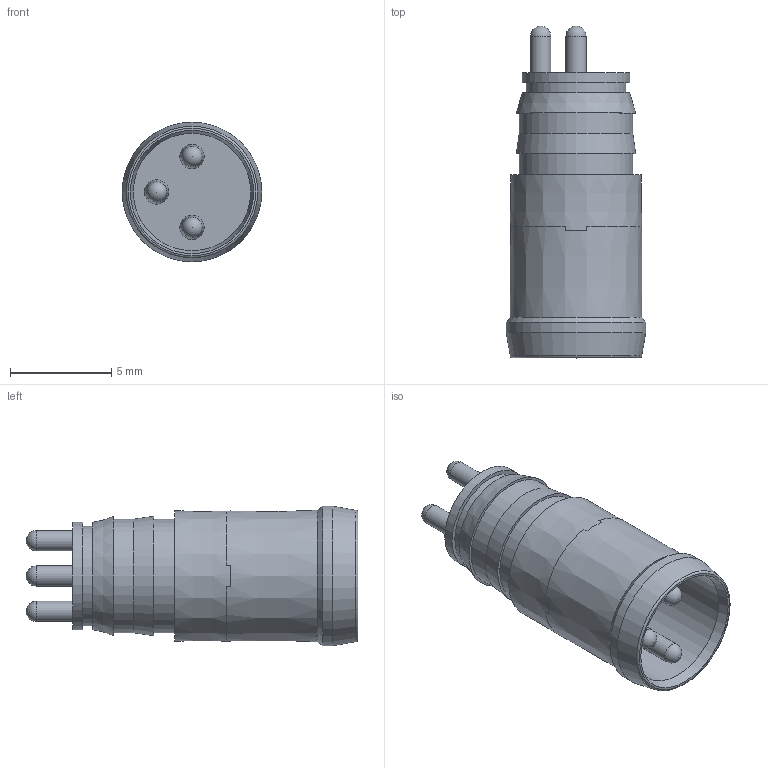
import cadquery as cq
import math


LENGTH = 16.4
RING_TAPER_END = 1.25
RING_REAR_EDGE = 1.75
RING_BACK = 2.0
SLEEVE_JOINT = 6.5
SLEEVE_BACK = 9.05
FIRST_BARB_START = 10.1
BARB_LENGTH = 1.0
FIRST_BARB_END = FIRST_BARB_START + BARB_LENGTH
SECOND_BARB_START = FIRST_BARB_END + BARB_LENGTH
SECOND_BARB_END = SECOND_BARB_START + BARB_LENGTH
FLANGE_THICKNESS = 0.5
FLANGE_FRONT = SECOND_BARB_END + FLANGE_THICKNESS
FLANGE_BACK = FLANGE_FRONT + FLANGE_THICKNESS

RING_DIAMETER = 6.9
LIP_DIAMETER = 6.5
SLEEVE_FRONT_DIAMETER = 6.5
SLEEVE_BACK_DIAMETER = 6.47
BARB_DIAMETER = 5.9
STEM_DIAMETER = 5.62
FLANGE_DIAMETER = 5.3
NECK_DIAMETER = 4.9

LIP_FILLET = 0.1

SOCKET_DIAMETER = 5.8
SOCKET_MOUTH_DIAMETER = 6.1
SOCKET_LEAD_IN = 0.5
SOCKET_DEPTH = SLEEVE_JOINT

JOINT_DEPTH = 0.2
TAB_WIDTH = 1.05
TAB_LENGTH = 0.2
TAB_COUNT = 4

PIN_RADIUS = 0.5
PIN_FRONT = 0.4
PIN_OFFSET = 1.75
PIN_POSITIONS = [(0, PIN_OFFSET), (-PIN_OFFSET, 0), (0, -PIN_OFFSET)]
PIN_ROOT_RADIUS = 0.6
PIN_ROOT_LENGTH = 1.0
PIN_ROOT_FRONT = SOCKET_DEPTH - PIN_ROOT_LENGTH


def revolve_outline(outline):
    """Turn a closed XY outline a full turn about the Y axis."""
    return outline.close().revolve(360, (0, 0, 0), (0, 1, 0))


def make_body():
    """Solid outer shape: lip, snap ring, drafted sleeve, barbs, neck and flange."""
    lip_radius = LIP_DIAMETER / 2
    arc_drop = LIP_FILLET * (1 - math.sqrt(0.5))
    stations = [
        (RING_DIAMETER, RING_TAPER_END),
        (RING_DIAMETER, RING_REAR_EDGE),
        (SLEEVE_FRONT_DIAMETER, RING_BACK),
        (SLEEVE_BACK_DIAMETER, SLEEVE_BACK),
        (STEM_DIAMETER, SLEEVE_BACK),
        (STEM_DIAMETER, FIRST_BARB_START),
        (BARB_DIAMETER, FIRST_BARB_START),
        (STEM_DIAMETER, FIRST_BARB_END),
        (STEM_DIAMETER, SECOND_BARB_START),
        (BARB_DIAMETER, SECOND_BARB_START),
        (FLANGE_DIAMETER, SECOND_BARB_END),
        (NECK_DIAMETER, SECOND_BARB_END),
        (NECK_DIAMETER, FLANGE_FRONT),
        (FLANGE_DIAMETER, FLANGE_FRONT),
        (FLANGE_DIAMETER, FLANGE_BACK),
    ]
    outline = cq.Workplane("XY").lineTo(lip_radius - LIP_FILLET, 0)
    outline = outline.threePointArc((lip_radius - arc_drop, arc_drop), (lip_radius, LIP_FILLET))
    for diameter, station in stations:
        outline = outline.lineTo(diameter / 2, station)
    return revolve_outline(outline.lineTo(0, FLANGE_BACK))


def make_joint_band(front, back):
    """Thin annulus straddling the sleeve surface between two stations."""
    outer_radius = SLEEVE_FRONT_DIAMETER / 2 + JOINT_DEPTH
    inner_radius = SLEEVE_BACK_DIAMETER / 2 - JOINT_DEPTH
    band = cq.Workplane("XZ", origin=(0, front, 0)).circle(outer_radius).circle(inner_radius)
    return band.extrude(front - back)


def make_rear_sleeve_region():
    """Space taken by the rear sleeve's skin, including its forward tabs."""
    region = make_joint_band(SLEEVE_JOINT, SLEEVE_BACK)
    tab_band = make_joint_band(SLEEVE_JOINT - TAB_LENGTH, SLEEVE_JOINT)
    block = cq.Workplane("XY").box(TAB_WIDTH, SLEEVE_JOINT, RING_DIAMETER, centered=(True, False, False))
    for index in range(TAB_COUNT):
        turned = block.rotate((0, 0, 0), (0, 1, 0), index * 360 / TAB_COUNT)
        region = region.union(tab_band.intersect(turned))
    return region


def make_socket():
    """Round cavity with a tapered lead-in at the mouth."""
    outline = cq.Workplane("XY").lineTo(SOCKET_MOUTH_DIAMETER / 2, 0)
    outline = outline.lineTo(SOCKET_DIAMETER / 2, SOCKET_LEAD_IN)
    outline = outline.lineTo(SOCKET_DIAMETER / 2, SOCKET_DEPTH)
    return revolve_outline(outline.lineTo(0, SOCKET_DEPTH))


def make_pin_root():
    """Steep cone that widens the pin towards the socket floor."""
    outline = cq.Workplane("XY").moveTo(0, PIN_ROOT_FRONT).lineTo(PIN_RADIUS, PIN_ROOT_FRONT)
    outline = outline.lineTo(PIN_ROOT_RADIUS, SOCKET_DEPTH)
    return revolve_outline(outline.lineTo(0, SOCKET_DEPTH))


def make_pin():
    """Round pin with a hemispherical tip at both ends."""
    arc_offset = PIN_RADIUS * math.sqrt(0.5)
    front_center = PIN_FRONT + PIN_RADIUS
    back_center = LENGTH - PIN_RADIUS
    outline = cq.Workplane("XY").moveTo(0, PIN_FRONT)
    outline = outline.threePointArc((arc_offset, front_center - arc_offset), (PIN_RADIUS, front_center))
    outline = outline.lineTo(PIN_RADIUS, back_center)
    outline = outline.threePointArc((arc_offset, back_center + arc_offset), (0, LENGTH))
    return revolve_outline(outline)


body = make_body()
rear_sleeve_region = make_rear_sleeve_region()
rear_sleeve = body.intersect(rear_sleeve_region)
result = body.cut(rear_sleeve_region).union(rear_sleeve, clean=False)
result = result.cut(make_socket(), clean=False)

pin_root = make_pin_root()
pin = make_pin()
for x, z in PIN_POSITIONS:
    result = result.union(pin_root.translate((x, 0, z)), clean=False)
    result = result.union(pin.translate((x, 0, z)), clean=False)